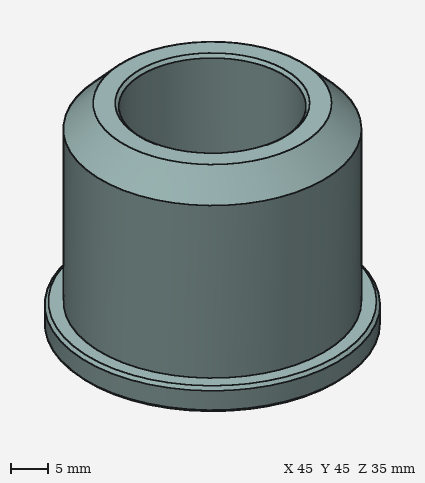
import cadquery as cq

flange_diameter = 45.0
flange_thickness = 4.0
body_diameter = 40.0
total_height = 35.0
bore_diameter = 25.1
lead_in_chamfer = 4.0
edge_chamfer = 0.5


def make_flange():
    """Base collar with both rims broken."""
    disc = cq.Workplane("XY").circle(flange_diameter / 2).extrude(flange_thickness)
    return disc.faces("<Z or >Z").edges().chamfer(edge_chamfer)


def make_body():
    """Full-height sleeve with a large lead-in chamfer on top."""
    cylinder = cq.Workplane("XY").circle(body_diameter / 2).extrude(total_height)
    return cylinder.faces(">Z").edges().chamfer(lead_in_chamfer)


def cut_bore(part):
    """Through bore with a small chamfer at each mouth."""
    bored = part.cut(cq.Workplane("XY").circle(bore_diameter / 2).extrude(total_height))
    bore_mouths = bored.faces("<Z or >Z").edges(cq.selectors.RadiusNthSelector(0))
    return bore_mouths.chamfer(edge_chamfer)


result = cut_bore(make_flange().union(make_body()))